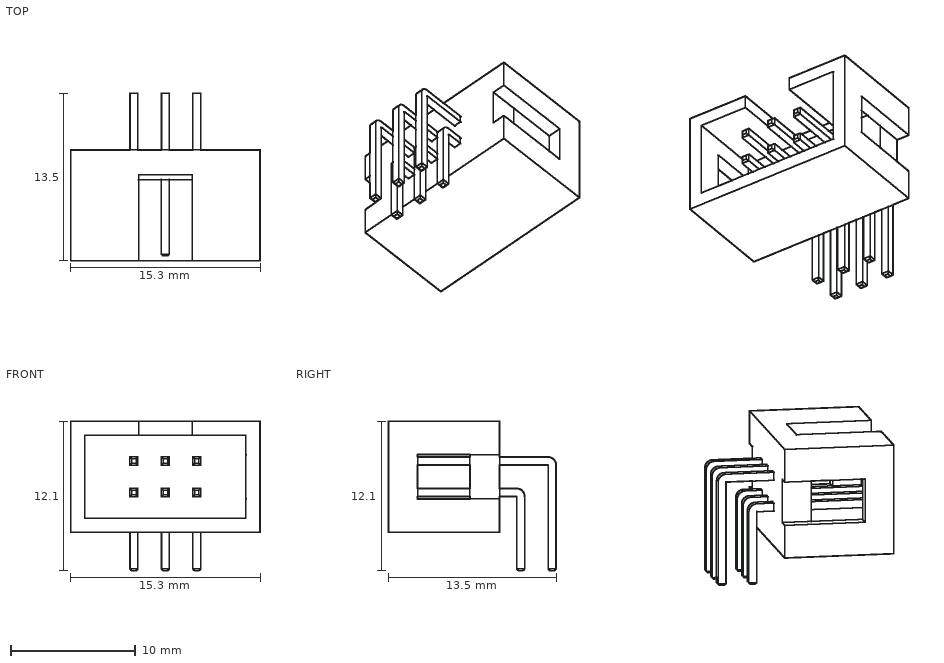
import cadquery as cq


shroud_width = 15.28
shroud_depth = 8.95
shroud_height = 8.95
wall = 1.15
cavity_depth = 6.55
cavity_width = shroud_width - 2 * wall
cavity_height = shroud_height - 2 * wall

notch_width = 4.32
notch_depth = 6.95

window_start = 2.35
window_height = 3.56

columns = 3
rows = 2
pitch = 2.54
pin_size = 0.65
tip_taper = 0.15
bend_radius = pin_size
contact_tip_y = 0.4
overall_depth = 13.52
overall_height = 12.05
solder_tip_z = shroud_height - overall_height

shroud_mid_z = shroud_height / 2
column_positions = [(i - (columns - 1) / 2) * pitch for i in range(columns)]


def row_z(row):
    """Height of a row's centreline, counted from the bottom row."""
    return shroud_mid_z + (row - (rows - 1) / 2) * pitch


def row_back_y(row):
    """Rear face of a row's legs; the top row reaches furthest back."""
    return overall_depth - (rows - 1 - row) * pitch


def box_from_front(width, start_y, end_y, bottom_z, height):
    """Box centred on X = 0 and spanning the given Y and Z ranges."""
    return (
        cq.Workplane("XY")
        .box(width, end_y - start_y, height, centered=(True, False, False))
        .translate((0, start_y, bottom_z))
    )


def make_pin(x, row):
    """Square pin with a right-angle bend and a tapered tip on both ends."""
    half = pin_size / 2
    top = row_z(row) + half
    bottom = row_z(row) - half
    back = row_back_y(row)
    bend_center_y = back - bend_radius
    bend_center_z = top - bend_radius
    profile = (
        cq.Workplane("YZ", origin=(x - half, 0, 0))
        .moveTo(contact_tip_y, bottom)
        .lineTo(contact_tip_y, top)
        .lineTo(bend_center_y, top)
        .radiusArc((back, bend_center_z), bend_radius)
        .lineTo(back, solder_tip_z)
        .lineTo(back - pin_size, solder_tip_z)
        .lineTo(back - pin_size, bottom)
        .close()
    )
    pin = profile.extrude(pin_size)
    return pin.faces("<Y").chamfer(tip_taper).faces("<Z").chamfer(tip_taper)


def make_shroud():
    """Box shroud with cavity, notch, side windows and a square hole for each pin."""
    shroud = box_from_front(shroud_width, 0, shroud_depth, 0, shroud_height)
    cavity = box_from_front(cavity_width, 0, cavity_depth, wall, cavity_height)
    notch = box_from_front(notch_width, 0, notch_depth, shroud_height - wall, wall)
    shroud = shroud.cut(cavity).cut(notch)

    window_band = box_from_front(
        shroud_width, window_start, shroud_depth, shroud_mid_z - window_height / 2, window_height
    )
    core = box_from_front(cavity_width, 0, shroud_depth, 0, shroud_height)
    shroud = shroud.cut(window_band.cut(core))

    for row in range(rows):
        pin_hole = box_from_front(pin_size, 0, shroud_depth, row_z(row) - pin_size / 2, pin_size)
        for x in column_positions:
            shroud = shroud.cut(pin_hole.translate((x, 0, 0)))
    return shroud


shroud = make_shroud()
pins = [make_pin(x, row) for row in range(rows) for x in column_positions]

result = cq.Compound.makeCompound([shroud.val(), *[pin.val() for pin in pins]])